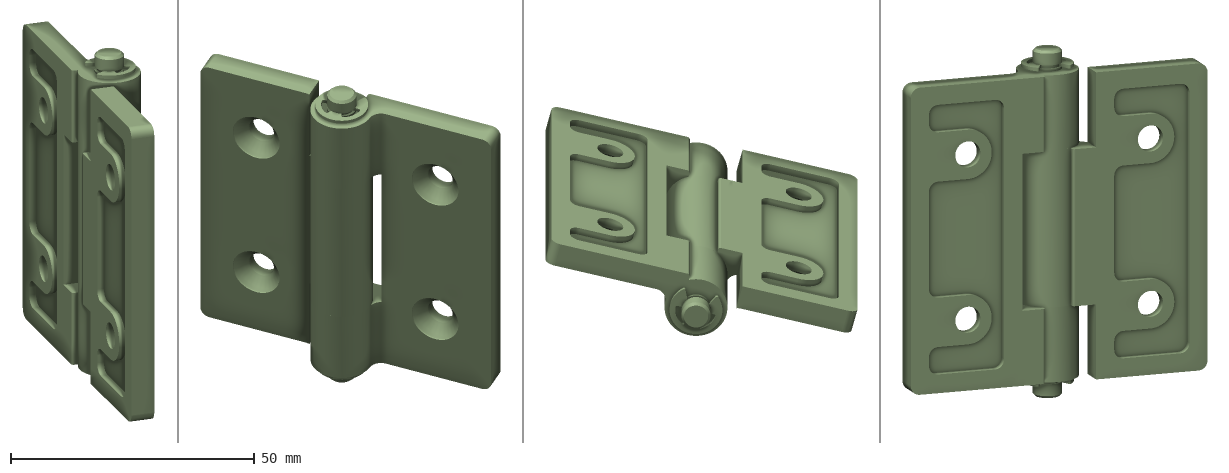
import cadquery as cq
import math


PIN_LENGTH = 73.5
HINGE_WIDTH = 65.0
HINGE_DEPTH = 13.5
LEAF_HEIGHT = 65.0

KNUCKLE_RADIUS = 6.5
LEAF_THICKNESS = 5.0
LEAF_CORNER_RADIUS = 2.0
MIDDLE_KNUCKLE_HEIGHT = 33.2
CLEARANCE_HALF_WIDTH = 8.1
ROOT_FILLET_RADIUS = 2.5
RELIEF_HALF_WIDTH = 3.0
RELIEF_EDGE_RADIUS = 0.5

POCKET_MARGIN = 4.0
POCKET_WIDTH = 16.5
POCKET_DEPTH = 1.5
POCKET_CORNER_RADIUS = 2.0

HOLE_X = 20.0
HOLE_Z = 17.5
HOLE_DIAMETER = 5.5
COUNTERSINK_DIAMETER = 10.45
COUNTERSINK_RECESS = 0.3
COUNTERSINK_ANGLE = 90.0
LUG_RADIUS = 5.2

PIN_RADIUS = 3.0
PIN_CHAMFER = 0.5
GROOVE_RADIUS = 2.5

CLIP_RADIUS = 5.45
CLIP_THICKNESS = 0.7
CLIP_GAP = 0.5
CLIP_WINDOW_RADIUS = 4.25
CLIP_WINDOW_END_ANGLE = 67.0
CLIP_MOUTH_HALF_WIDTH = 1.4
CLIP_MOUTH_FLARE = 25.0
CLIP_CORNER_RADIUS = 0.4

HALF_WIDTH = HINGE_WIDTH / 2
FRONT_Y = KNUCKLE_RADIUS - HINGE_DEPTH
BACK_Y = FRONT_Y + LEAF_THICKNESS
CLIP_BASE_Z = LEAF_HEIGHT / 2 + CLIP_GAP


def centred_prism(sketch, height):
    """Extrude an XY outline equally to both sides of Z = 0."""
    return sketch.extrude(height / 2, both=True)


def centred_box(x_min, x_max, y_min, y_max, height):
    """Box with given X and Y limits, centred on Z = 0."""
    box = cq.Workplane("XY").box(x_max - x_min, y_max - y_min, height)
    return box.translate(((x_min + x_max) / 2, (y_min + y_max) / 2, 0))


def leaf_section():
    """Full-height plate on the -X side, joined to a knuckle around the axis."""
    fillet_y = BACK_Y + ROOT_FILLET_RADIUS
    centre_distance = KNUCKLE_RADIUS + ROOT_FILLET_RADIUS
    fillet_x = -math.sqrt(centre_distance**2 - fillet_y**2)
    tangent_ratio = KNUCKLE_RADIUS / centre_distance
    tangent = (fillet_x * tangent_ratio, fillet_y * tangent_ratio)
    start_angle = math.radians(-90)
    end_angle = math.atan2(-fillet_y, -fillet_x)
    middle_angle = (start_angle + end_angle) / 2
    fillet_middle = (
        fillet_x + ROOT_FILLET_RADIUS * math.cos(middle_angle),
        fillet_y + ROOT_FILLET_RADIUS * math.sin(middle_angle),
    )

    relief_y = -math.sqrt(KNUCKLE_RADIUS**2 - RELIEF_HALF_WIDTH**2)
    outline = (
        cq.Workplane("XY")
        .moveTo(-HALF_WIDTH, FRONT_Y)
        .lineTo(-HALF_WIDTH, BACK_Y)
        .lineTo(fillet_x, BACK_Y)
        .threePointArc(fillet_middle, tangent)
        .threePointArc((KNUCKLE_RADIUS, 0), (-RELIEF_HALF_WIDTH, relief_y))
        .lineTo(-RELIEF_HALF_WIDTH, FRONT_Y)
        .close()
    )
    leaf = centred_prism(outline, LEAF_HEIGHT)
    relief_edge = cq.selectors.NearestToPointSelector((-RELIEF_HALF_WIDTH, FRONT_Y, 0))
    leaf = leaf.edges(relief_edge).fillet(RELIEF_EDGE_RADIUS)
    return leaf.edges("|Y and <X").fillet(LEAF_CORNER_RADIUS)


def pocket(side, x_min):
    """Pocket volume open to -Y, with two round-ended lugs left standing around the holes."""
    x_max = x_min + POCKET_WIDTH
    height = LEAF_HEIGHT - 2 * POCKET_MARGIN
    floor_y = FRONT_Y + POCKET_DEPTH
    block = centred_box(x_min, x_max, FRONT_Y, floor_y, height)
    hole_x = side * HOLE_X
    for hole_z in (-HOLE_Z, HOLE_Z):
        lug_bar = centred_box(x_min, hole_x, FRONT_Y, floor_y, 2 * LUG_RADIUS).translate((0, 0, hole_z))
        lug_end = (
            cq.Workplane("XZ", origin=(hole_x, FRONT_Y, hole_z))
            .circle(LUG_RADIUS)
            .extrude(-POCKET_DEPTH)
        )
        block = block.cut(lug_bar).cut(lug_end)
    return block.edges("|Y and (<X or >X)").fillet(POCKET_CORNER_RADIUS)


def screw_holes(side):
    """Cutters for the two holes of one leaf, countersunk from the back; side is -1 or 1."""
    cone_width = (COUNTERSINK_DIAMETER - HOLE_DIAMETER) / 2
    cone_depth = cone_width / math.tan(math.radians(COUNTERSINK_ANGLE / 2))
    cone_end_y = BACK_Y - COUNTERSINK_RECESS
    profile = (
        cq.Workplane("XY")
        .moveTo(0, FRONT_Y)
        .lineTo(HOLE_DIAMETER / 2, FRONT_Y)
        .lineTo(HOLE_DIAMETER / 2, cone_end_y - cone_depth)
        .lineTo(COUNTERSINK_DIAMETER / 2, cone_end_y)
        .lineTo(COUNTERSINK_DIAMETER / 2, BACK_Y)
        .lineTo(0, BACK_Y)
        .close()
    )
    hole = profile.revolve(360, (0, 0), (0, 1))
    hole = hole.translate((side * HOLE_X, 0, HOLE_Z))
    return hole.union(hole.mirror("XY"))


def finish_leaf(leaf, side, pocket_x_min):
    """Cut the pocket, the screw holes and the pin bore."""
    bore = centred_prism(cq.Workplane("XY").circle(PIN_RADIUS), LEAF_HEIGHT)
    return leaf.cut(pocket(side, pocket_x_min)).cut(screw_holes(side)).cut(bore)


def make_left_leaf():
    """Leaf on the -X side, with a knuckle at each end and a gap between them."""
    gap = centred_box(
        -CLEARANCE_HALF_WIDTH, CLEARANCE_HALF_WIDTH, FRONT_Y, KNUCKLE_RADIUS, MIDDLE_KNUCKLE_HEIGHT
    )
    return finish_leaf(leaf_section().cut(gap), -1, POCKET_MARGIN - HALF_WIDTH)


def make_right_leaf():
    """Leaf on the +X side, with one knuckle in the middle."""
    leaf = leaf_section().mirror("YZ")
    end_height = (LEAF_HEIGHT - MIDDLE_KNUCKLE_HEIGHT) / 2
    end_gap = centred_box(
        -CLEARANCE_HALF_WIDTH, CLEARANCE_HALF_WIDTH, FRONT_Y, KNUCKLE_RADIUS, end_height
    )
    end_gap_z = (LEAF_HEIGHT - end_height) / 2
    for z in (-end_gap_z, end_gap_z):
        leaf = leaf.cut(end_gap.translate((0, 0, z)))
    return finish_leaf(leaf, 1, HALF_WIDTH - POCKET_MARGIN - POCKET_WIDTH)


def make_pin():
    """Chamfered pin with a groove near each end for a clip."""
    pin = centred_prism(cq.Workplane("XY").circle(PIN_RADIUS), PIN_LENGTH)
    pin = pin.faces("<Z or >Z").chamfer(PIN_CHAMFER)
    groove = (
        cq.Workplane("XY", origin=(0, 0, CLIP_BASE_Z))
        .circle(PIN_RADIUS)
        .circle(GROOVE_RADIUS)
        .extrude(CLIP_THICKNESS)
    )
    return pin.cut(groove).cut(groove.mirror("XY"))


def clip_window():
    """Sector cutter between two of the clip's gripping tabs, on the +X side."""
    end = math.radians(CLIP_WINDOW_END_ANGLE)
    sector = (
        cq.Workplane("XY")
        .lineTo(CLIP_WINDOW_RADIUS, 0)
        .threePointArc(
            (CLIP_WINDOW_RADIUS * math.cos(end / 2), CLIP_WINDOW_RADIUS * math.sin(end / 2)),
            (CLIP_WINDOW_RADIUS * math.cos(end), CLIP_WINDOW_RADIUS * math.sin(end)),
        )
        .close()
        .extrude(CLIP_THICKNESS)
    )
    return sector.edges("|Z and (>X or >Y)").fillet(CLIP_CORNER_RADIUS)


def make_clip():
    """Upper E-clip, seated in its groove with its mouth towards -Y."""
    mouth_end = CLIP_MOUTH_HALF_WIDTH + CLIP_RADIUS * math.tan(math.radians(CLIP_MOUTH_FLARE))
    mouth = (
        cq.Workplane("XY")
        .polyline(
            [
                (-CLIP_MOUTH_HALF_WIDTH, 0),
                (CLIP_MOUTH_HALF_WIDTH, 0),
                (mouth_end, -CLIP_RADIUS),
                (-mouth_end, -CLIP_RADIUS),
            ]
        )
        .close()
        .extrude(CLIP_THICKNESS)
    )
    clip = cq.Workplane("XY").circle(CLIP_RADIUS).circle(GROOVE_RADIUS).extrude(CLIP_THICKNESS)
    clip = clip.cut(mouth).cut(clip_window()).cut(clip_window().mirror("YZ"))
    clip = clip.edges("|Z and <Y").fillet(CLIP_CORNER_RADIUS)
    return clip.translate((0, 0, CLIP_BASE_Z))


left_leaf = make_left_leaf()
right_leaf = make_right_leaf()
pin = make_pin()
upper_clip = make_clip()
clips = [upper_clip, upper_clip.mirror("XY")]

result = cq.Compound.makeCompound(
    [left_leaf.val(), right_leaf.val(), pin.val(), *[clip.val() for clip in clips]]
)